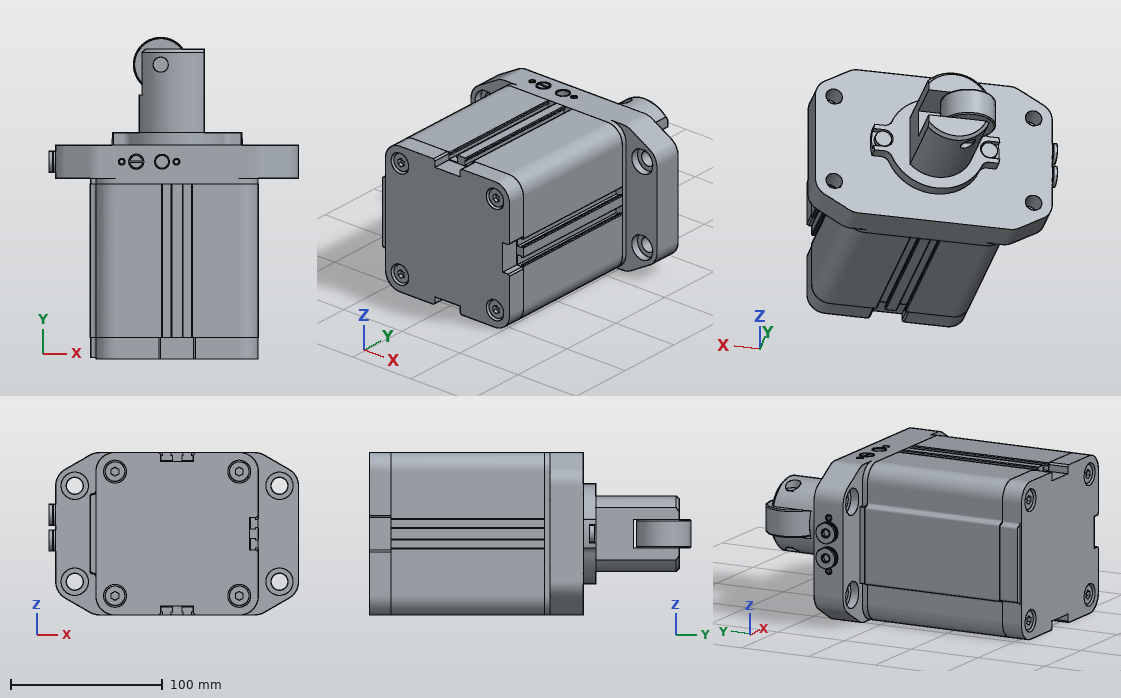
import cadquery as cq
import math


BODY_SIZE = 107.0
BODY_HALF = BODY_SIZE / 2
TRIM_HALF_WIDTH = 53.5
CORNER_RADIUS = 12.5

FLANGE_THICKNESS = 21.8
NECK_LENGTH = 3.8
TUBE_LENGTH = 101.1
CAP_LENGTH = 14.2
TUBE_START = -(FLANGE_THICKNESS + NECK_LENGTH)
CAP_START = TUBE_START - TUBE_LENGTH

FLANGE_WIDTH = 160.0
FLANGE_HALF_WIDTH = FLANGE_WIDTH / 2
FLANGE_SIDE_HALF = 38.8
FLANGE_SLOPE = 30
MOUNT_X = 67.5
MOUNT_Z = 31.5
MOUNT_HOLE_DIAMETER = 11.0
MOUNT_BORE_DIAMETER = 18.0
MOUNT_BORE_DEPTH = 6.0

COLLAR_HEIGHT = 8.3
COLLAR_DIAMETER = 66.1
EAR_REACH = 43.0
EAR_WIDTH = 19.0
EAR_FILLET = 5.7
EAR_SCREW_X = 35.8
EAR_NOTCH_WIDTH = 12.5
EAR_NOTCH_DEPTH = 4.2
EAR_SCREW_DIAMETER = 11.0
EAR_SCREW_HEIGHT = 3.4

PORT_Y = -FLANGE_THICKNESS / 2
PORT_SPACING = 17.0
SMALL_HOLE_SPACING = 36.0
TOP_GROUP_X = -18.5
SIDE_GROUP_Z = 4.0
PORT_DIAMETER = 8.5
PORT_DEPTH = 10.5
PORT_MOUTH_DIAMETER = 9.8
PORT_MOUTH_DEPTH = 0.6
SMALL_HOLE_DIAMETER = 3.2
SMALL_HOLE_DEPTH = 3.2
SMALL_RECESS_DIAMETER = 4.5
SMALL_RECESS_DEPTH = 0.8

NEEDLE_SEAT_DIAMETER = 10.0
NEEDLE_DIAMETER = 8.3
NEEDLE_GAP_DEPTH = 0.6
NEEDLE_SLOT_WIDTH = 0.8

PLUG_DIAMETER = 14.0
PLUG_LENGTH = 4.5
PLUG_GROOVE_DEPTH = 0.5
PLUG_GROOVE_WIDTH = 0.8
PLUG_GROOVE_OFFSET = 1.3
PLUG_RECESS_DIAMETER = 6.1
PLUG_RECESS_DEPTH = 0.6
PLUG_SOCKET_FLATS = 4.9
PLUG_SOCKET_DEPTH = 2.5

TUBE_PAD_HALF = 26.5
TUBE_PAD_TIP_RADIUS = 2.0
CAP_PAD_HALF = 25.9
CAP_PAD_TIP_RADIUS = 1.7
PAD_BASE_RADIUS = 2.0
CAP_PAD_SETBACK = 1.0
NECK_PAD_HALF = 25.9
NECK_PAD_HEIGHT = 3.4

GROOVE_ANGLES = (0, 90, 180)
LIP_DEPTH = 2.0
GROOVE_DEPTH = 5.3
RIB_HALF = 3.2
RIB_HEAD_HALF = 4.0
GROOVE_CHAMFER = 0.6
MOUTH_HALF = 9.5
GROOVE_HALF = 10.5
CAP_SLOT_HALF = 10.8
CAP_SLOT_DEPTH = 6.0
CAP_SLOT_CHAMFER = 1.3

SCREW_OFFSET = 41.0
SCREW_BORE_DIAMETER = 15.0
SCREW_BORE_DEPTH = 5.3
SCREW_HEAD_DIAMETER = 13.0
SCREW_HEAD_SETBACK = 1.0
SCREW_HEAD_FILLET = 0.8
SCREW_SOCKET_FLATS = 5.0
SCREW_SOCKET_DEPTH = 3.0

ROD_DIAMETER = 50.0
ROD_TOP = 63.2
ROD_CHAMFER = 2.1
ROD_FLAT_X = 18.0
FORK_BOTTOM = 33.0
FORK_WIDTH = 18.7

ROLLER_DIAMETER = 36.0
ROLLER_X = -10.8
ROLLER_Y = 53.0
ROLLER_CHAMFER = 0.8
AXLE_DIAMETER = 10.0
AXLE_LENGTH = 38.2


def section(y):
    """Workplane across the stroke axis: local x is X, local y is Z, extruding toward -Y."""
    return cq.Workplane("XZ", origin=(0, y, 0))


def hexagon(plane, flats, depth):
    """Hexagonal prism with the given width across flats."""
    return plane.polygon(6, flats / math.cos(math.pi / 6)).extrude(depth)


def body_block(y, length, half_width=BODY_HALF):
    """Length of the housing section with rounded corners."""
    block = section(y).rect(2 * half_width, BODY_SIZE).extrude(length)
    return block.edges("|Y").fillet(CORNER_RADIUS)


def side_pad(y, length, base_x, half_width, tip_radius):
    """Raised pad on the -X side; each flank is a concave base fillet meeting a convex tip fillet."""
    flank_x = base_x - PAD_BASE_RADIUS
    tip_x = flank_x - tip_radius
    arc_inset = 1 - math.sqrt(0.5)
    base_mid = (base_x - arc_inset * PAD_BASE_RADIUS, half_width + arc_inset * PAD_BASE_RADIUS)
    tip_mid = (tip_x + arc_inset * tip_radius, half_width - arc_inset * tip_radius)
    upper_half = (
        section(y)
        .moveTo(0, half_width + PAD_BASE_RADIUS)
        .lineTo(base_x, half_width + PAD_BASE_RADIUS)
        .threePointArc(base_mid, (flank_x, half_width))
        .threePointArc(tip_mid, (tip_x, half_width - tip_radius))
        .lineTo(tip_x, 0)
        .lineTo(0, 0)
        .close()
        .extrude(length)
    )
    return upper_half.union(upper_half.mirror("XY"))


def small_hole(plane):
    """Small stepped hole cut downward from the plane."""
    hole = plane.circle(SMALL_HOLE_DIAMETER / 2).extrude(-SMALL_HOLE_DEPTH)
    return hole.union(plane.circle(SMALL_RECESS_DIAMETER / 2).extrude(-SMALL_RECESS_DEPTH))


def flange_plate():
    top_corner = FLANGE_HALF_WIDTH - (BODY_HALF - FLANGE_SIDE_HALF) / math.tan(math.radians(FLANGE_SLOPE))
    upper = [
        (FLANGE_HALF_WIDTH, FLANGE_SIDE_HALF),
        (top_corner, BODY_HALF),
        (-top_corner, BODY_HALF),
        (-FLANGE_HALF_WIDTH, FLANGE_SIDE_HALF),
    ]
    lower = [(-x, -z) for x, z in upper]
    plate = section(0).polyline(upper + lower).close().extrude(FLANGE_THICKNESS)
    plate = plate.edges("|Y").fillet(CORNER_RADIUS)

    corners = [(x, z) for x in (-MOUNT_X, MOUNT_X) for z in (-MOUNT_Z, MOUNT_Z)]
    holes = section(0).pushPoints(corners).circle(MOUNT_HOLE_DIAMETER / 2).extrude(FLANGE_THICKNESS)
    bores = section(-FLANGE_THICKNESS).pushPoints(corners).circle(MOUNT_BORE_DIAMETER / 2)
    return plate.cut(holes).cut(bores.extrude(-MOUNT_BORE_DEPTH))


def flange_neck():
    """Short length of housing section between the plate and the tube."""
    neck = body_block(-FLANGE_THICKNESS, NECK_LENGTH, TRIM_HALF_WIDTH)
    reach = BODY_HALF + NECK_PAD_HEIGHT
    pad = section(-FLANGE_THICKNESS).center(-reach / 2, 0).rect(reach, 2 * NECK_PAD_HALF)
    return neck.union(pad.extrude(NECK_LENGTH))


def collar():
    """Round collar with two ears, each holding a screw in an open notch."""
    disc = section(0).circle(COLLAR_DIAMETER / 2).extrude(-COLLAR_HEIGHT)
    ears = section(0).rect(2 * EAR_REACH, EAR_WIDTH).extrude(-COLLAR_HEIGHT)
    ears = ears.intersect(section(0).circle(EAR_REACH).extrude(-COLLAR_HEIGHT))
    inner_limit = (COLLAR_DIAMETER / 2 + EAR_REACH) / 2
    joints = cq.selectors.BoxSelector(
        (-inner_limit, 0, -EAR_WIDTH), (inner_limit, COLLAR_HEIGHT, EAR_WIDTH)
    )
    ring = disc.union(ears).edges("|Y").edges(joints).fillet(EAR_FILLET)

    floor = COLLAR_HEIGHT - EAR_NOTCH_DEPTH
    for side in (-1, 1):
        seat = section(floor).center(side * EAR_SCREW_X, 0)
        notch = seat.circle(EAR_NOTCH_WIDTH / 2).extrude(-EAR_NOTCH_DEPTH)
        opening = seat.center(side * EAR_REACH / 2, 0).rect(EAR_REACH, EAR_NOTCH_WIDTH)
        notch = notch.union(opening.extrude(-EAR_NOTCH_DEPTH))
        screw = seat.circle(EAR_SCREW_DIAMETER / 2).extrude(-EAR_SCREW_HEIGHT)
        ring = ring.cut(notch).union(screw)
    return ring


def top_port_cuts():
    """Open port, slotted needle screw and two small holes in the top edge of the flange."""
    plane = cq.Workplane("XY", origin=(TOP_GROUP_X, PORT_Y, BODY_HALF))
    needle_plane = plane.center(-PORT_SPACING / 2, 0)
    port_plane = plane.center(PORT_SPACING / 2, 0)
    port = port_plane.circle(PORT_DIAMETER / 2).extrude(-PORT_DEPTH)
    port_mouth = port_plane.circle(PORT_MOUTH_DIAMETER / 2).extrude(-PORT_MOUTH_DEPTH)
    gap = needle_plane.circle(NEEDLE_SEAT_DIAMETER / 2).circle(NEEDLE_DIAMETER / 2).extrude(-NEEDLE_GAP_DEPTH)
    slot = needle_plane.rect(NEEDLE_DIAMETER, NEEDLE_SLOT_WIDTH).extrude(-NEEDLE_GAP_DEPTH)
    cuts = port.union(port_mouth).union(gap).union(slot)
    for side in (-1, 1):
        cuts = cuts.union(small_hole(plane.center(side * SMALL_HOLE_SPACING / 2, 0)))
    return cuts


def side_plane(z):
    """Workplane on the -X edge of the flange, facing outward."""
    return cq.Workplane("YZ", origin=(-FLANGE_HALF_WIDTH, PORT_Y, z)).transformed(rotate=(0, 180, 0))


def plug(z):
    """Round plug with a thin groove near the flange and a hexagonal socket."""
    plane = side_plane(z)
    end = plane.workplane(offset=PLUG_LENGTH)
    groove_plane = plane.workplane(offset=PLUG_GROOVE_OFFSET)
    groove_floor = PLUG_DIAMETER / 2 - PLUG_GROOVE_DEPTH
    groove = groove_plane.circle(PLUG_DIAMETER / 2).circle(groove_floor).extrude(PLUG_GROOVE_WIDTH)
    body = plane.circle(PLUG_DIAMETER / 2).extrude(PLUG_LENGTH).cut(groove)
    body = body.cut(end.circle(PLUG_RECESS_DIAMETER / 2).extrude(-PLUG_RECESS_DEPTH))
    return body.cut(hexagon(end, PLUG_SOCKET_FLATS, -PLUG_SOCKET_DEPTH))


def round_rod(top):
    """Round bar from the back of the flange up to the given height."""
    return section(TUBE_START).circle(ROD_DIAMETER / 2).extrude(TUBE_START - top)


def rod_flat():
    """Block that trims the +X side of the rod, or of its bore, to a flat."""
    width = ROD_DIAMETER / 2 - ROD_FLAT_X
    block = section(TUBE_START).center(ROD_FLAT_X + width / 2, 0).rect(width, ROD_DIAMETER)
    return block.extrude(TUBE_START - ROD_TOP)


def make_flange():
    flange = flange_plate().union(flange_neck()).union(collar())
    flange = flange.cut(round_rod(COLLAR_HEIGHT).cut(rod_flat())).cut(top_port_cuts())
    for side in (-1, 1):
        flange = flange.union(plug(SIDE_GROUP_Z + side * PORT_SPACING / 2))
        flange = flange.cut(small_hole(side_plane(SIDE_GROUP_Z + side * SMALL_HOLE_SPACING / 2)))
    return flange


def sensor_groove():
    """Two undercut channels on either side of a T-shaped rib, in the top of the tube."""
    lip = BODY_HALF - LIP_DEPTH
    floor = BODY_HALF - GROOVE_DEPTH
    profile = [
        (RIB_HEAD_HALF - GROOVE_CHAMFER, BODY_HALF),
        (RIB_HEAD_HALF, BODY_HALF - GROOVE_CHAMFER),
        (RIB_HEAD_HALF, lip),
        (RIB_HALF, lip),
        (RIB_HALF, floor),
        (GROOVE_HALF, floor),
        (GROOVE_HALF, lip),
        (MOUTH_HALF, lip),
        (MOUTH_HALF, BODY_HALF - GROOVE_CHAMFER),
        (MOUTH_HALF + GROOVE_CHAMFER, BODY_HALF),
    ]
    channel = section(TUBE_START).polyline(profile).close().extrude(TUBE_LENGTH)
    return channel.union(channel.mirror("YZ"))


def cap_slot():
    """Plain slot with chamfered mouth that opens the sensor grooves through the end cap."""
    right = [
        (CAP_SLOT_HALF, BODY_HALF - CAP_SLOT_DEPTH),
        (CAP_SLOT_HALF, BODY_HALF - CAP_SLOT_CHAMFER),
        (CAP_SLOT_HALF + CAP_SLOT_CHAMFER, BODY_HALF),
    ]
    left = [(-x, z) for x, z in reversed(right)]
    return section(CAP_START).polyline(right + left).close().extrude(CAP_LENGTH)


def cut_around(body, cutter):
    """Cut a top-side cutter into each of the grooved sides."""
    for angle in GROOVE_ANGLES:
        body = body.cut(cutter.rotate((0, 0, 0), (0, 1, 0), angle))
    return body


def make_tube():
    pad = side_pad(TUBE_START, TUBE_LENGTH, -BODY_HALF, TUBE_PAD_HALF, TUBE_PAD_TIP_RADIUS)
    return cut_around(body_block(TUBE_START, TUBE_LENGTH).union(pad), sensor_groove())


def cap_screw_head(x, z):
    """Socket screw head standing on the floor of its counterbore."""
    floor = CAP_START - CAP_LENGTH + SCREW_BORE_DEPTH
    height = SCREW_BORE_DEPTH - SCREW_HEAD_SETBACK
    head = section(floor).center(x, z).circle(SCREW_HEAD_DIAMETER / 2).extrude(height)
    head = head.faces("<Y").edges().fillet(SCREW_HEAD_FILLET)
    socket_plane = section(floor - height).center(x, z).transformed(rotate=(0, 0, 90))
    return head.cut(hexagon(socket_plane, SCREW_SOCKET_FLATS, -SCREW_SOCKET_DEPTH))


def make_end_cap():
    pad_length = CAP_LENGTH - CAP_PAD_SETBACK
    pad = side_pad(CAP_START, pad_length, -TRIM_HALF_WIDTH, CAP_PAD_HALF, CAP_PAD_TIP_RADIUS)
    cap = cut_around(body_block(CAP_START, CAP_LENGTH, TRIM_HALF_WIDTH).union(pad), cap_slot())
    for x in (-SCREW_OFFSET, SCREW_OFFSET):
        for z in (-SCREW_OFFSET, SCREW_OFFSET):
            bore = section(CAP_START - CAP_LENGTH).center(x, z).circle(SCREW_BORE_DIAMETER / 2)
            cap = cap.cut(bore.extrude(-SCREW_BORE_DEPTH)).union(cap_screw_head(x, z))
    return cap


def roller_cylinder(diameter, length):
    """Cylinder about the roller axis, centred on the fork."""
    base = cq.Workplane("XY", origin=(ROLLER_X, ROLLER_Y, -length / 2))
    return base.circle(diameter / 2).extrude(length)


def make_rod():
    """Flatted rod with a fork and cross hole for the roller."""
    fork_gap = section(FORK_BOTTOM).rect(ROD_DIAMETER, FORK_WIDTH).extrude(FORK_BOTTOM - ROD_TOP)
    axle_hole = roller_cylinder(AXLE_DIAMETER, ROD_DIAMETER)
    rod = round_rod(ROD_TOP).faces(">Y").chamfer(ROD_CHAMFER)
    return rod.cut(rod_flat()).cut(fork_gap).cut(axle_hole)


def make_roller():
    """Roller filling the fork, with its axle ends in the fork holes."""
    wheel = roller_cylinder(ROLLER_DIAMETER, FORK_WIDTH).faces("|Z").edges().chamfer(ROLLER_CHAMFER)
    return wheel.union(roller_cylinder(AXLE_DIAMETER, AXLE_LENGTH))


flange = make_flange()
tube = make_tube()
end_cap = make_end_cap()
rod = make_rod()
roller = make_roller()

result = cq.Compound.makeCompound([flange.val(), tube.val(), end_cap.val(), rod.val(), roller.val()])